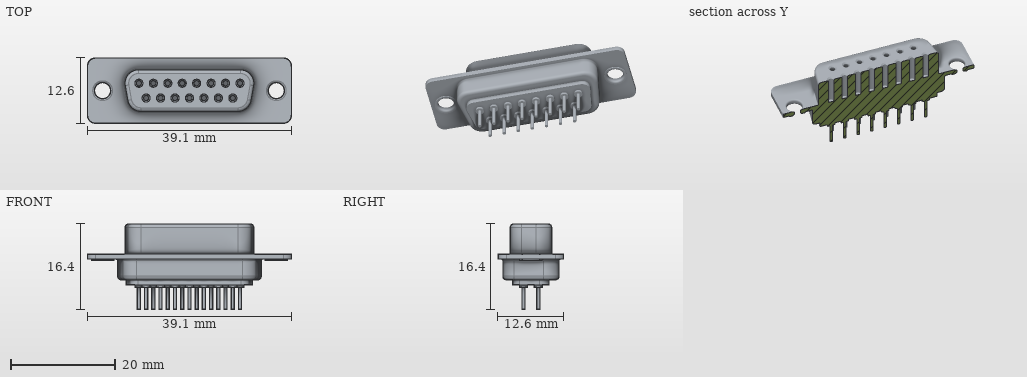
import cadquery as cq
import math


flange_length = 39.14
flange_width = 12.55
flange_thickness = 1.0
flange_corner_radius = 1.57

mount_hole_spacing = 33.32
mount_hole_diameter = 3.05
mount_rim_radius = 0.37
mount_ring_diameter = 4.3
mount_ring_height = 0.22

d_side_angle = 10.0
d_corner_radius = 2.58
shell_edge_radius = 0.7
shell_root_radius = 0.2

front_length = 24.7
front_width = 7.98
front_height = 5.78

rear_length = 27.55
rear_width = 10.8
rear_height = 3.95

insulator_length = 24.25
insulator_width = 7.0
insulator_height = 0.97
insulator_corner_radius = 1.55

contact_pitch = 2.77
row_spacing = 2.84
upper_row_count = 8
lower_row_count = 7

socket_diameter = 1.0
socket_mouth_diameter = 1.55
socket_depth = front_height
socket_chamfer_angle = 45.0
socket_chamfer = (socket_mouth_diameter - socket_diameter) / 2

collar_diameter = 1.58
collar_height = 0.46
pin_diameter = 0.64
overall_height = 16.4

flange_bottom = -flange_thickness
rear_bottom = flange_bottom - rear_height
insulator_bottom = rear_bottom - insulator_height
collar_bottom = insulator_bottom - collar_height
pin_bottom = front_height - overall_height


def d_prism(length, width, corner_radius, bottom, height):
    """Rounded trapezoid prism, wider towards +Y, centred on the Z axis."""
    centre_y = width / 2 - corner_radius
    upper_x = length / 2 - corner_radius
    lower_x = upper_x - 2 * centre_y * math.tan(math.radians(d_side_angle))
    arc_centres = [
        (-lower_x, -centre_y),
        (lower_x, -centre_y),
        (upper_x, centre_y),
        (-upper_x, centre_y),
    ]
    return (
        cq.Workplane("XY", origin=(0, 0, bottom))
        .polyline(arc_centres)
        .close()
        .offset2D(corner_radius)
        .extrude(height)
    )


def cylinders(points, diameter, bottom, height):
    """Equal vertical cylinders standing on the level bottom."""
    return (
        cq.Workplane("XY", origin=(0, 0, bottom))
        .pushPoints(points)
        .circle(diameter / 2)
        .extrude(height)
    )


def contact_row(count, y):
    """Contact positions of one row, centred on X = 0."""
    first_x = -(count - 1) * contact_pitch / 2
    return [(first_x + index * contact_pitch, y) for index in range(count)]


def root_edges(body, level, length):
    """Edges where a D-shaped body of the given length meets the flange face at level."""
    tolerance = 0.01
    reach_x = length / 2 + tolerance
    reach_y = flange_width / 2 - tolerance
    return body.edges(
        cq.selectors.BoxSelector(
            (-reach_x, -reach_y, level - tolerance),
            (reach_x, reach_y, level + tolerance),
            boundingbox=True,
        )
    )


def make_shell():
    """Flange with the front and rear shells, outer edges and roots rounded."""
    flange = (
        cq.Workplane("XY", origin=(0, 0, flange_bottom))
        .rect(flange_length, flange_width)
        .extrude(flange_thickness)
        .edges("|Z")
        .fillet(flange_corner_radius)
    )
    front = d_prism(front_length, front_width, d_corner_radius, 0, front_height)
    front = front.faces(">Z").edges().fillet(shell_edge_radius)
    rear = d_prism(rear_length, rear_width, d_corner_radius, rear_bottom, rear_height)
    rear = rear.faces("<Z").edges().fillet(shell_edge_radius)

    shell = flange.union(front).union(rear)
    shell = root_edges(shell, 0, front_length).fillet(shell_root_radius)
    return root_edges(shell, flange_bottom, rear_length).fillet(shell_root_radius)


def add_mounting_holes(body):
    """Add the raised rings, then the through holes rounded at both rims."""
    points = [(side * mount_hole_spacing / 2, 0) for side in (-1, 1)]
    ring_bottom = flange_bottom - mount_ring_height
    body = body.union(cylinders(points, mount_ring_diameter, ring_bottom, mount_ring_height))

    bore_radius = mount_hole_diameter / 2
    rim_outer_radius = bore_radius + mount_rim_radius
    rim_middle = mount_rim_radius * (1 - math.sqrt(0.5))
    cutter = (
        cq.Workplane("XZ")
        .moveTo(0, ring_bottom)
        .lineTo(rim_outer_radius, ring_bottom)
        .threePointArc(
            (bore_radius + rim_middle, ring_bottom + rim_middle),
            (bore_radius, ring_bottom + mount_rim_radius),
        )
        .lineTo(bore_radius, -mount_rim_radius)
        .threePointArc((bore_radius + rim_middle, -rim_middle), (rim_outer_radius, 0))
        .lineTo(0, 0)
        .close()
        .revolve(360, (0, 0), (0, 1))
    )
    for x, y in points:
        body = body.cut(cutter.translate((x, y, 0)))
    return body


def add_insulator(body):
    """Add the insulator step below the rear shell."""
    insulator = d_prism(
        insulator_length,
        insulator_width,
        insulator_corner_radius,
        insulator_bottom,
        insulator_height,
    )
    return body.union(insulator)


def add_contacts(body):
    """Add collars and pins below, and cut chamfered sockets into the mating face."""
    points = contact_row(upper_row_count, row_spacing / 2)
    points += contact_row(lower_row_count, -row_spacing / 2)

    collars = cylinders(points, collar_diameter, collar_bottom, collar_height)
    pins = cylinders(points, pin_diameter, pin_bottom, collar_bottom - pin_bottom)
    body = body.union(collars).union(pins)

    socket_bottom = front_height - socket_depth
    sockets = cylinders(points, socket_diameter, socket_bottom, socket_depth)
    mouths = (
        cq.Workplane("XY", origin=(0, 0, front_height))
        .pushPoints(points)
        .circle(socket_mouth_diameter / 2)
        .extrude(-socket_chamfer, taper=socket_chamfer_angle)
    )
    return body.cut(sockets).cut(mouths)


result = add_contacts(add_insulator(add_mounting_holes(make_shell())))